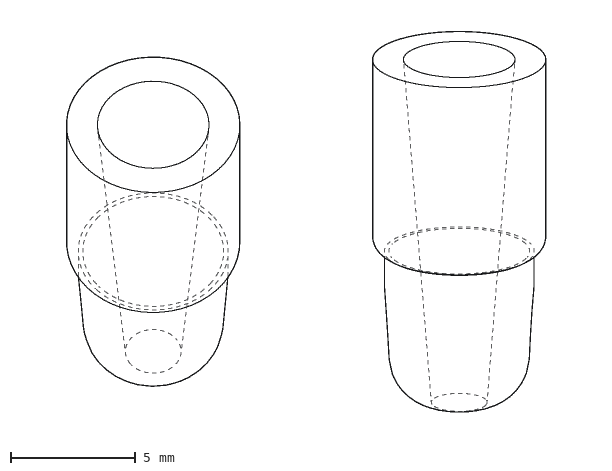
import cadquery as cq
import math

total_height = 14.5
head_radius = 6.95 / 2
head_bottom = 6.4
head_edge_radius = 0.65

neck_radius = 6.0 / 2
neck_bottom = 5.15
blend_radius = 5.0
taper_angle = math.radians(3.5)
taper_bottom = 1.84

bore_top_radius = 2.23
bore_bottom_radius = 1.12

blend_end_radius = neck_radius - blend_radius * (1 - math.cos(taper_angle))
blend_end_height = neck_bottom - blend_radius * math.sin(taper_angle)
taper_bottom_radius = blend_end_radius - (blend_end_height - taper_bottom) * math.tan(taper_angle)

half_section = (
    cq.Workplane("XZ")
    .moveTo(bore_top_radius, total_height)
    .lineTo(head_radius, total_height)
    .lineTo(head_radius, head_bottom + head_edge_radius)
    .tangentArcPoint((head_radius - head_edge_radius, head_bottom), relative=False)
    .lineTo(neck_radius, head_bottom)
    .lineTo(neck_radius, neck_bottom)
    .tangentArcPoint((blend_end_radius, blend_end_height), relative=False)
    .lineTo(taper_bottom_radius, taper_bottom)
    .tangentArcPoint((bore_bottom_radius, 0), relative=False)
    .close()
)

result = half_section.revolve(360, (0, 0, 0), (0, 1, 0))